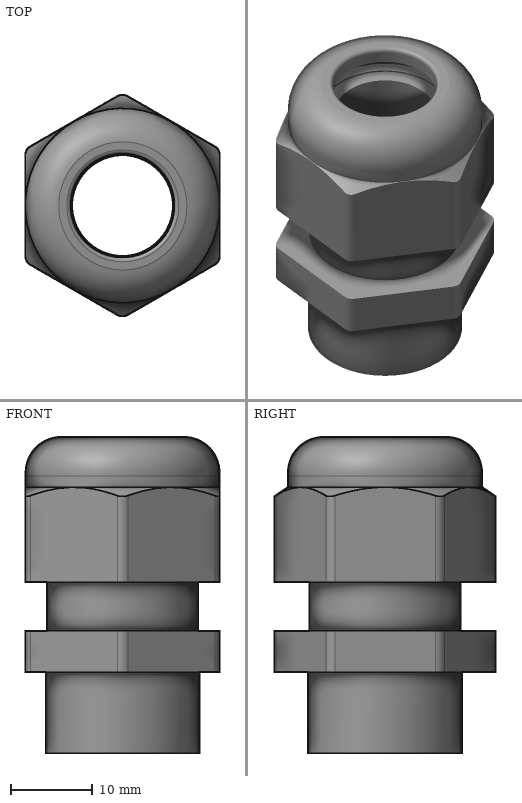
import cadquery as cq
import math

ACROSS_FLATS = 24.0
HEX_CORNER_RADIUS = 1.27

COLLAR_BOTTOM = 10.0
COLLAR_TOP = 15.1
CAP_BOTTOM = 21.1
CAP_HEX_TOP = 32.8
DOME_START = 34.2
TOTAL_HEIGHT = 39.0

THREAD_DIAMETER = 19.0
NECK_DIAMETER = 18.7

BAND_RADIUS = 11.98
DOME_RIM_RADIUS = 7.9
DOME_ARC_RADIUS = 4.5
CORNER_CHAMFER_DROP = 1.15

OPENING_RADIUS = 6.4
OPENING_FILLET = 0.5
OPENING_DEPTH = 2.0

CHAMBER_RADIUS = 9.2
CHAMBER_FLOOR = 34.4
RECESS_RADIUS = 7.9
RECESS_DEPTH = 0.2
BORE_RADIUS = 6.2

CORNER_TIP_RADIUS = ACROSS_FLATS / math.sqrt(3)
ROUNDED_CORNER_RADIUS = CORNER_TIP_RADIUS - HEX_CORNER_RADIUS * (2 / math.sqrt(3) - 1)


def cylinder(radius, bottom, top):
    """Cylinder on the Z axis between two heights."""
    return cq.Workplane("XY").workplane(offset=bottom).circle(radius).extrude(top - bottom)


def hexagon(bottom, top):
    """Hexagonal prism with flats facing +X and -X and rounded corners."""
    return (
        cq.Workplane("XY")
        .workplane(offset=bottom)
        .polygon(6, 2 * CORNER_TIP_RADIUS)
        .extrude(top - bottom)
        .rotate((0, 0, 0), (0, 0, 1), 30)
        .edges("|Z")
        .fillet(HEX_CORNER_RADIUS)
    )


def revolve_profile(profile):
    """Turn an XZ outline around the Z axis."""
    return profile.close().revolve(360, (0, 0, 0), (0, 1, 0))


def cap_hexagon():
    """Cap hexagon with its top corners turned down to a cone."""
    slope = CORNER_CHAMFER_DROP / (ROUNDED_CORNER_RADIUS - BAND_RADIUS)
    cone_radius = CORNER_TIP_RADIUS
    cone_bottom = CAP_HEX_TOP - slope * (cone_radius - BAND_RADIUS)
    envelope = revolve_profile(
        cq.Workplane("XZ")
        .moveTo(0, CAP_BOTTOM)
        .lineTo(cone_radius, CAP_BOTTOM)
        .lineTo(cone_radius, cone_bottom)
        .lineTo(BAND_RADIUS, CAP_HEX_TOP)
        .lineTo(0, CAP_HEX_TOP)
    )
    return hexagon(CAP_BOTTOM, CAP_HEX_TOP).intersect(envelope)


def cap_dome():
    """Round band topped by a convex arc that ends at the flat rim."""
    return revolve_profile(
        cq.Workplane("XZ")
        .moveTo(0, CAP_HEX_TOP)
        .lineTo(BAND_RADIUS, CAP_HEX_TOP)
        .lineTo(BAND_RADIUS, DOME_START)
        .radiusArc((DOME_RIM_RADIUS, TOTAL_HEIGHT), -DOME_ARC_RADIUS)
        .lineTo(0, TOTAL_HEIGHT)
    )


def cap_opening():
    """Cutter for the opening, flared at the rim by a quarter-round."""
    opening_bottom = TOTAL_HEIGHT - OPENING_DEPTH
    return revolve_profile(
        cq.Workplane("XZ")
        .moveTo(0, opening_bottom)
        .lineTo(OPENING_RADIUS, opening_bottom)
        .lineTo(OPENING_RADIUS, TOTAL_HEIGHT - OPENING_FILLET)
        .radiusArc((OPENING_RADIUS + OPENING_FILLET, TOTAL_HEIGHT), OPENING_FILLET)
        .lineTo(0, TOTAL_HEIGHT)
    )


def passage():
    """Cutter for everything hollow along the axis."""
    recess_floor = CHAMBER_FLOOR - RECESS_DEPTH
    chamber_top = TOTAL_HEIGHT - OPENING_DEPTH
    return (
        cylinder(BORE_RADIUS, 0, recess_floor)
        .union(cylinder(RECESS_RADIUS, recess_floor, CHAMBER_FLOOR))
        .union(cylinder(CHAMBER_RADIUS, CHAMBER_FLOOR, chamber_top))
        .union(cap_opening())
    )


def outer_body():
    """Thread, collar, neck and cap stacked into one solid."""
    return (
        cylinder(THREAD_DIAMETER / 2, 0, COLLAR_BOTTOM)
        .union(hexagon(COLLAR_BOTTOM, COLLAR_TOP))
        .union(cylinder(NECK_DIAMETER / 2, COLLAR_TOP, CAP_BOTTOM))
        .union(cap_hexagon())
        .union(cap_dome())
    )


result = outer_body().cut(passage())